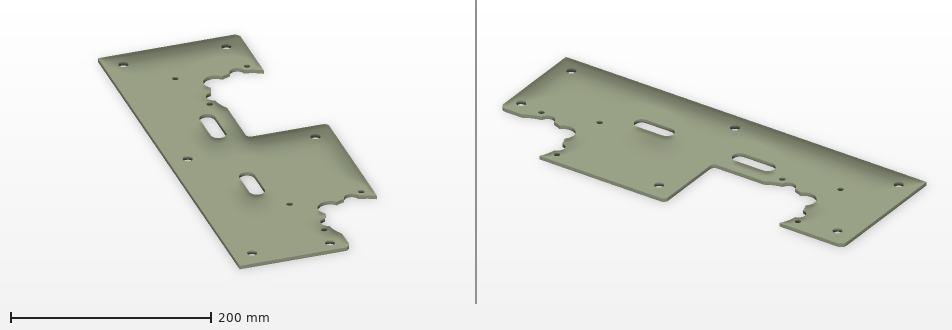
import cadquery as cq

length = 435.0
height = 175.0
thickness = 4.0
left_shoulder = 148.8
notch_floor = 90.0
notch_wall = 196.5
right_shoulder = 117.5
notch_corner_radius = 5.2
shoulder_radius = 6.5

recess_center = (112.0, 125.3)
recess_shift = (272.5, 27.0)
recess_radius = 42.0
side_lobe_radius = 8.0
side_lobe_offset = (40.5, 2.5)
corner_lobe_radius = 12.5
corner_lobe_offset = 29.0

small_diameter = 6.5
small_holes = [(63.0, 135.7), (122.2, 76.0), (63.0, 60.0)]
shifted_small_holes = [(x + recess_shift[0], y + recess_shift[1]) for x, y in small_holes]
large_diameter = 10.0
hole_margin = 20.0
right_upper_hole = (421.0, 100.0)
large_holes = [
    (hole_margin, hole_margin),
    (length / 2, hole_margin),
    (length - hole_margin, hole_margin),
    (hole_margin, left_shoulder - hole_margin),
    (length / 2, height - hole_margin),
    right_upper_hole,
]

slot_width = 16.0
slot_y = 65.0
slots = [(164.5, 49.5), (284.5, 46.0)]


def cylinder(center, radius):
    return cq.Workplane("XY").center(*center).circle(radius).extrude(thickness)


def recess_cutter(center):
    """Main circle with two side lobes and a larger lobe on the diagonal."""
    x, y = center
    far, near = side_lobe_offset
    cutter = cylinder(center, recess_radius)
    for lobe in [(x - far, y - near), (x - near, y - far)]:
        cutter = cutter.union(cylinder(lobe, side_lobe_radius))
    corner = (x - corner_lobe_offset, y - corner_lobe_offset)
    return cutter.union(cylinder(corner, corner_lobe_radius))


def stepped_plate(step_x):
    """Plate whose tall middle part ends at step_x, inside the second recess."""
    outline = [
        (0, 0),
        (length, 0),
        (length, right_shoulder),
        (step_x, right_shoulder),
        (step_x, height),
        (notch_wall, height),
        (notch_wall, notch_floor),
        (recess_center[0], notch_floor),
        (recess_center[0], left_shoulder),
        (0, left_shoulder),
    ]
    plate = cq.Workplane("XY").polyline(outline).close().extrude(thickness)
    rounded = [
        (0, left_shoulder, shoulder_radius),
        (notch_wall, height, notch_corner_radius),
        (notch_wall, notch_floor, notch_corner_radius),
        (length, right_shoulder, shoulder_radius),
    ]
    for x, y, radius in rounded:
        corner_edge = cq.selectors.NearestToPointSelector((x, y, thickness / 2))
        plate = plate.edges("|Z").edges(corner_edge).fillet(radius)
    return plate


second_center = (recess_center[0] + recess_shift[0], recess_center[1] + recess_shift[1])
result = stepped_plate(second_center[0])
for center in (recess_center, second_center):
    result = result.cut(recess_cutter(center))

for points, diameter in (
    (small_holes + shifted_small_holes, small_diameter),
    (large_holes, large_diameter),
):
    result = result.cut(cq.Workplane("XY").pushPoints(points).circle(diameter / 2).extrude(thickness))

for slot_x, slot_length in slots:
    slot = cq.Workplane("XY").center(slot_x, slot_y).slot2D(slot_length, slot_width).extrude(thickness)
    result = result.cut(slot)